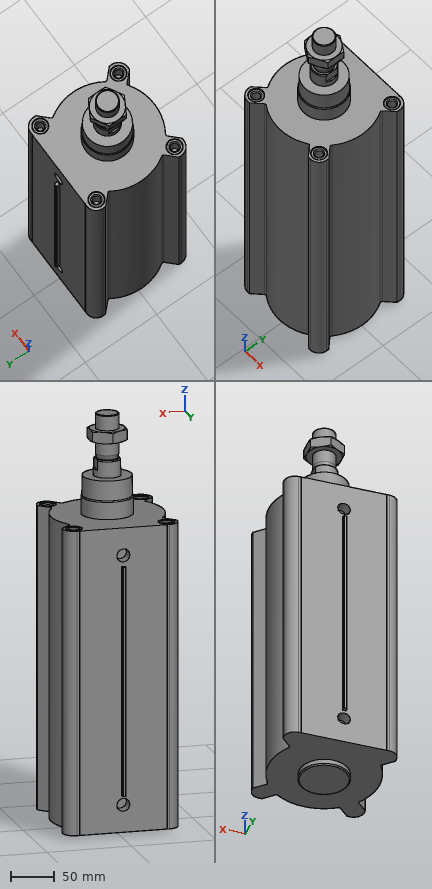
import cadquery as cq
import math

TOTAL_HEIGHT = 485.0
BARREL_BOTTOM = 7.5
BARREL_TOP = 366.5
BARREL_HEIGHT = BARREL_TOP - BARREL_BOTTOM
NECK_TOP = 388.5
BEARING_TOP = 412.0
WRENCH_BOTTOM = 420.0
SHOULDER_TOP = 432.0
UNDERCUT_TOP = 433.0
THREAD_BOTTOM = 437.5
NUT_BOTTOM = 453.5

WIDTH = 136.0
HALF_WIDTH = WIDTH / 2
FLAT_OFFSET = 68.5
BARREL_DIAMETER = 133.0
SCREW_OFFSET = 55.0
CORNER_RADIUS = HALF_WIDTH - SCREW_OFFSET
LUG_FLAT_END = 51.5
LUG_WIDTH = math.sqrt(2) * (HALF_WIDTH - LUG_FLAT_END)
NOTCH_FILLET = 2.5

RECESS_DIAMETER = 19.5
RECESS_FLOOR_DIAMETER = 18.0
RECESS_DEPTH = 0.75
SCREW_HOLE_DIAMETER = 10.0
SCREW_HOLE_DEPTH = 19.5
SCREW_HOLE_CHAMFER = 1.5

COLLAR_DIAMETER = 60.0
COLLAR_CHAMFER = 1.5
BEARING_BASE_DIAMETER = 58.0
BEARING_TOP_DIAMETER = 57.0

RAIL_WIDTH = 4.5
RAIL_CREST = HALF_WIDTH + 5.5
RAIL_CHAMFER = 1.0
RAIL_BOTTOM = 51.0
RAIL_LENGTH = 270.0
PORT_DIAMETER = 15.0
PORT_DEPTH = 14.5
PORT_END_GAP = 32.5

ROD_DIAMETER = 32.0
ROD_CHAMFER = 1.2
WRENCH_FLATS = 27.0
UNDERCUT_DIAMETER = 24.5
THREAD_DIAMETER = 27.0
THREAD_TIP_CHAMFER = 1.0

NUT_FLATS = 41.0
NUT_HEIGHT = 13.5
NUT_CHAMFER_ANGLE = 20.0
HEXAGON_SIDES = 6


def level(height):
    """Horizontal workplane at the given height."""
    return cq.Workplane("XY").workplane(offset=height)


def cylinder(diameter, bottom, top):
    return level(bottom).circle(diameter / 2).extrude(top - bottom)


def cone(bottom_diameter, top_diameter, bottom, top):
    section = level(bottom).circle(bottom_diameter / 2)
    return section.workplane(offset=top - bottom).circle(top_diameter / 2).loft()


def notch_points():
    """Places where the lug flanks run into the round tube; the flat +Y side has none."""
    along_lug = math.sqrt((BARREL_DIAMETER / 2) ** 2 - (LUG_WIDTH / 2) ** 2)
    near = (along_lug - LUG_WIDTH / 2) / math.sqrt(2)
    far = (along_lug + LUG_WIDTH / 2) / math.sqrt(2)
    sides = [(x, y) for x in (-far, far) for y in (-near, near)]
    front = [(x, -far) for x in (-near, near)]
    return sides + front


def make_barrel():
    """Round tube with four diagonal corner lugs and a flat +Y side."""
    barrel = cylinder(BARREL_DIAMETER, BARREL_BOTTOM, BARREL_TOP)
    plane = level(BARREL_BOTTOM)
    for angle in (45, -45):
        lug_bar = plane.transformed(rotate=(0, 0, angle)).rect(2 * WIDTH, LUG_WIDTH)
        barrel = barrel.union(lug_bar.extrude(BARREL_HEIGHT))
    flat_side = plane.center(0, FLAT_OFFSET / 2).rect(2 * LUG_FLAT_END, FLAT_OFFSET)
    barrel = barrel.union(flat_side.extrude(BARREL_HEIGHT))

    block = plane.center(0, (FLAT_OFFSET - HALF_WIDTH) / 2).rect(WIDTH, HALF_WIDTH + FLAT_OFFSET)
    block = block.extrude(BARREL_HEIGHT).edges("|Z").fillet(CORNER_RADIUS)
    barrel = barrel.intersect(block)

    middle = (BARREL_BOTTOM + BARREL_TOP) / 2
    for x, y in notch_points():
        notch_edge = cq.selectors.NearestToPointSelector((x, y, middle))
        barrel = barrel.edges("|Z").edges(notch_edge).fillet(NOTCH_FILLET)
    return barrel


def make_lower_collar():
    return cylinder(COLLAR_DIAMETER, 0, BARREL_BOTTOM).faces("<Z").chamfer(COLLAR_CHAMFER)


def make_neck():
    """Upper collar with a small shoulder and a slightly tapered bearing cap above it."""
    shoulder_width = (COLLAR_DIAMETER - BEARING_BASE_DIAMETER) / 2
    neck = cylinder(COLLAR_DIAMETER, BARREL_TOP, NECK_TOP)
    neck = neck.faces(">Z").edges().chamfer(COLLAR_CHAMFER, shoulder_width)
    return neck.union(cone(BEARING_BASE_DIAMETER, BEARING_TOP_DIAMETER, NECK_TOP, BEARING_TOP))


def make_rail():
    """Narrow chamfered rail standing on the flat side of the barrel."""
    section = level(RAIL_BOTTOM).center(0, (FLAT_OFFSET + RAIL_CREST) / 2)
    rail = section.rect(RAIL_WIDTH, RAIL_CREST - FLAT_OFFSET).extrude(RAIL_LENGTH)
    return rail.faces(">Y").edges("|Z").chamfer(RAIL_CHAMFER)


def make_screw_recess():
    """Cutter for a shallow conical recess with a chamfered blind hole in its floor."""
    floor = BARREL_TOP - RECESS_DEPTH
    hole_radius = SCREW_HOLE_DIAMETER / 2
    section = [
        (0, BARREL_TOP),
        (RECESS_DIAMETER / 2, BARREL_TOP),
        (RECESS_FLOOR_DIAMETER / 2, floor),
        (hole_radius + SCREW_HOLE_CHAMFER, floor),
        (hole_radius, floor - SCREW_HOLE_CHAMFER),
        (hole_radius, floor - SCREW_HOLE_DEPTH),
        (0, floor - SCREW_HOLE_DEPTH),
    ]
    return cq.Workplane("XZ").polyline(section).close().revolve(360, (0, 0), (0, 1))


def make_port(height):
    """Cutter for a blind air port entering from the flat +Y side."""
    face = cq.Workplane("XZ", origin=(0, FLAT_OFFSET, height))
    return face.circle(PORT_DIAMETER / 2).extrude(PORT_DEPTH)


def make_housing():
    housing = make_barrel().union(make_lower_collar()).union(make_neck()).union(make_rail())
    for x in (-SCREW_OFFSET, SCREW_OFFSET):
        for y in (-SCREW_OFFSET, SCREW_OFFSET):
            housing = housing.cut(make_screw_recess().translate((x, y, 0)))
    for height in (BARREL_BOTTOM + PORT_END_GAP, BARREL_TOP - PORT_END_GAP):
        housing = housing.cut(make_port(height))
    rod_hole = cylinder(ROD_DIAMETER, BARREL_TOP, BEARING_TOP)
    return housing.cut(rod_hole)


def make_rod():
    """Piston rod with two wrench flats, an undercut and a threaded end."""
    rod = cylinder(ROD_DIAMETER, BARREL_TOP, SHOULDER_TOP).faces(">Z").chamfer(ROD_CHAMFER)
    undercut = cylinder(UNDERCUT_DIAMETER, SHOULDER_TOP, UNDERCUT_TOP)
    run_out = cone(UNDERCUT_DIAMETER, THREAD_DIAMETER, UNDERCUT_TOP, THREAD_BOTTOM)
    thread = cylinder(THREAD_DIAMETER, THREAD_BOTTOM, TOTAL_HEIGHT)
    thread = thread.faces(">Z").chamfer(THREAD_TIP_CHAMFER)
    rod = rod.union(undercut).union(run_out).union(thread)

    flat_depth = (ROD_DIAMETER - WRENCH_FLATS) / 2
    flat_center = (WRENCH_FLATS + flat_depth) / 2
    for x in (-flat_center, flat_center):
        flat = level(WRENCH_BOTTOM).center(x, 0).rect(flat_depth, ROD_DIAMETER)
        rod = rod.cut(flat.extrude(SHOULDER_TOP - WRENCH_BOTTOM))
    return rod


def make_nut():
    """Hexagon lock nut, corners pointing along Y, with conical chamfers on both faces."""
    nut_top = NUT_BOTTOM + NUT_HEIGHT
    across_corners = NUT_FLATS / math.cos(math.pi / HEXAGON_SIDES)
    turned = level(NUT_BOTTOM).transformed(rotate=(0, 0, 180 / HEXAGON_SIDES))
    hexagon = turned.polygon(HEXAGON_SIDES, across_corners).extrude(NUT_HEIGHT)

    corner_depth = (across_corners - NUT_FLATS) / 2
    corner_drop = corner_depth * math.tan(math.radians(NUT_CHAMFER_ANGLE))
    blank = cylinder(across_corners, NUT_BOTTOM, nut_top)
    blank = blank.faces(">Z").edges().chamfer(corner_drop, corner_depth)
    blank = blank.faces("<Z").edges().chamfer(corner_drop, corner_depth)
    return hexagon.intersect(blank).cut(cylinder(THREAD_DIAMETER, NUT_BOTTOM, nut_top))


housing = make_housing()
rod = make_rod()
nut = make_nut()

bodies = [body.solids().val() for body in (housing, rod, nut)]
result = cq.Compound.makeCompound(bodies)